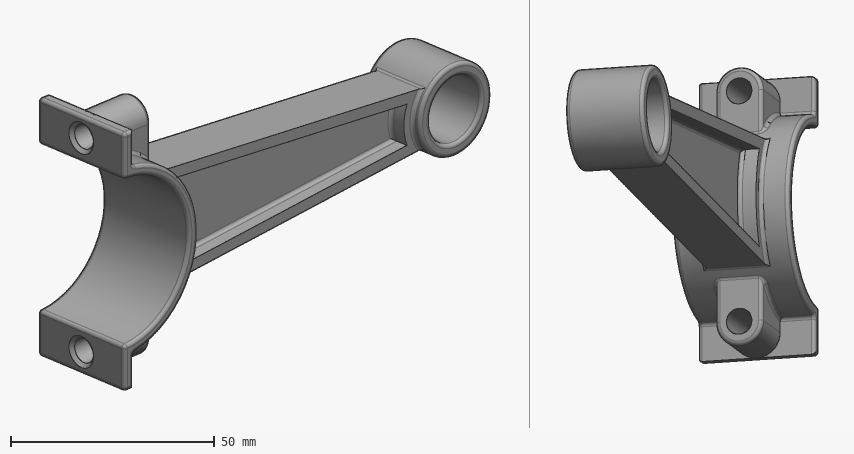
import cadquery as cq
import math

length = 132.9
edge_radius = 1.0
wall = 3.0
tolerance = 0.01

eye_radius = 12.5
eye_bore_radius = 18.0 / 2
eye_width = 20.0
eye_y = length - eye_radius

big_bore_radius = 45.0 / 2
big_radius = big_bore_radius + wall
big_mid_radius = big_bore_radius + wall / 2
big_width = 30.0

bolt_z = 58.1 / 2
boss_radius = 6.0
boss_length = 18.1
bolt_hole_radius = 6.5 / 2
flange_top = bolt_z + boss_radius
flange_foot_z = math.sqrt(big_radius**2 - wall**2)

arm_width = 15.0
arm_half_at_eye = 7.5
arm_half_at_big = 17.5
pocket_depth = 4.5

SIDES = (1, -1)


def side_plane(x):
    """YZ plane at the given X, facing +X."""
    return cq.Workplane("YZ", origin=(x, 0, 0))


def x_cylinder(radius, width, y):
    """Cylinder along X, centred on X = 0 and Z = 0."""
    return side_plane(-width / 2).center(y, 0).circle(radius).extrude(width)


def tapered_bar(start_x, half_at_big, half_at_eye, depth):
    """Symmetric trapezoid between the two bore centres, extruded along X from start_x."""
    return (
        side_plane(start_x)
        .moveTo(0, half_at_big)
        .lineTo(eye_y, half_at_eye)
        .lineTo(eye_y, -half_at_eye)
        .lineTo(0, -half_at_big)
        .close()
        .extrude(depth)
    )


def edges_on_cylinder(body, radius, y, half_width):
    """Edges lying on an X-axis cylinder and within half_width of X = 0."""

    def lies_on_it(edge):
        box = edge.BoundingBox()
        if max(-box.xmin, box.xmax) > half_width + tolerance:
            return False
        points = [edge.positionAt(t) for t in (0, 0.3, 0.5, 1)]
        return all(abs(math.hypot(p.y - y, p.z) - radius) < tolerance for p in points)

    return [edge for edge in body.edges().vals() if lies_on_it(edge)]


def make_boss(side):
    """Round-ended bolt boss behind one flange, running down into the ring."""
    barrel = cq.Workplane("XZ").center(0, side * bolt_z).circle(boss_radius)
    web = cq.Workplane("XZ").center(0, side * bolt_z / 2).rect(2 * boss_radius, bolt_z)
    boss = barrel.extrude(-boss_length).union(web.extrude(-boss_length))
    return boss.cut(x_cylinder(big_mid_radius, big_width, 0))


def make_big_end():
    """Half ring with a flat bolt flange and a boss at each end."""
    body = (
        side_plane(-big_width / 2)
        .moveTo(0, big_bore_radius)
        .lineTo(0, flange_top)
        .lineTo(wall, flange_top)
        .lineTo(wall, flange_foot_z)
        .threePointArc((big_radius, 0), (wall, -flange_foot_z))
        .lineTo(wall, -flange_top)
        .lineTo(0, -flange_top)
        .lineTo(0, -big_bore_radius)
        .threePointArc((big_bore_radius, 0), (0, big_bore_radius))
        .close()
        .extrude(big_width)
    )
    for side in SIDES:
        body = body.union(make_boss(side))

    boss_seams = edges_on_cylinder(body, big_radius, 0, boss_radius)
    boss_ends = [
        edge
        for edge in body.edges("not |X").vals()
        if abs(edge.Center().y - boss_length) < tolerance
    ]
    flange_feet = [
        edge
        for edge in body.edges("|X").vals()
        if math.hypot(edge.Center().y - wall, abs(edge.Center().z) - flange_foot_z) < tolerance
    ]
    body = body.newObject(boss_ends + boss_seams + flange_feet).fillet(edge_radius)
    return body.faces("<X or >X or <Y").edges().fillet(edge_radius)


def make_eye():
    """Small-end barrel, still without its bore."""
    body = x_cylinder(eye_radius, eye_width, eye_y)
    return body.faces("<X or >X").edges().fillet(edge_radius)


def make_arm():
    """Tapered arm, from inside the ring wall to the eye centre."""
    body = tapered_bar(-arm_width / 2, arm_half_at_big, arm_half_at_eye, arm_width)
    return body.cut(x_cylinder(big_mid_radius, big_width, 0))


def make_pocket(side):
    """Tapered recess in one side of the arm, its ends concentric with the two bores."""
    slope = (arm_half_at_big - arm_half_at_eye) / eye_y
    rim = wall * math.hypot(1, slope)
    start_x = side * arm_width / 2
    depth = -side * pocket_depth
    body = tapered_bar(start_x, arm_half_at_big - rim, arm_half_at_eye - rim, depth)
    body = body.cut(x_cylinder(big_radius + wall, big_width, 0))
    body = body.cut(x_cylinder(eye_radius + wall, big_width, eye_y))
    floor = "<X" if side > 0 else ">X"
    return body.faces(floor).edges().fillet(edge_radius)


def make_bolt_hole(side):
    """Through hole for one bolt, countersunk at the split face."""
    hole = cq.Workplane("XZ").center(0, side * bolt_z).circle(bolt_hole_radius)
    countersink = cq.Solid.makeCone(
        bolt_hole_radius + edge_radius,
        bolt_hole_radius,
        edge_radius,
        cq.Vector(0, 0, side * bolt_z),
        cq.Vector(0, 1, 0),
    )
    return hole.extrude(-boss_length).union(cq.Workplane(countersink))


result = make_big_end().union(make_arm()).union(make_eye())
for seam_radius, seam_y in ((big_radius, 0), (eye_radius, eye_y)):
    seam = edges_on_cylinder(result, seam_radius, seam_y, arm_width / 2)
    result = result.newObject(seam).fillet(edge_radius)

for side in SIDES:
    result = result.cut(make_pocket(side)).cut(make_bolt_hole(side))

result = result.cut(x_cylinder(eye_bore_radius, eye_width, eye_y))
bore_edges = edges_on_cylinder(result, eye_bore_radius, eye_y, eye_width / 2)
result = result.newObject(bore_edges).edges("%CIRCLE").fillet(edge_radius)